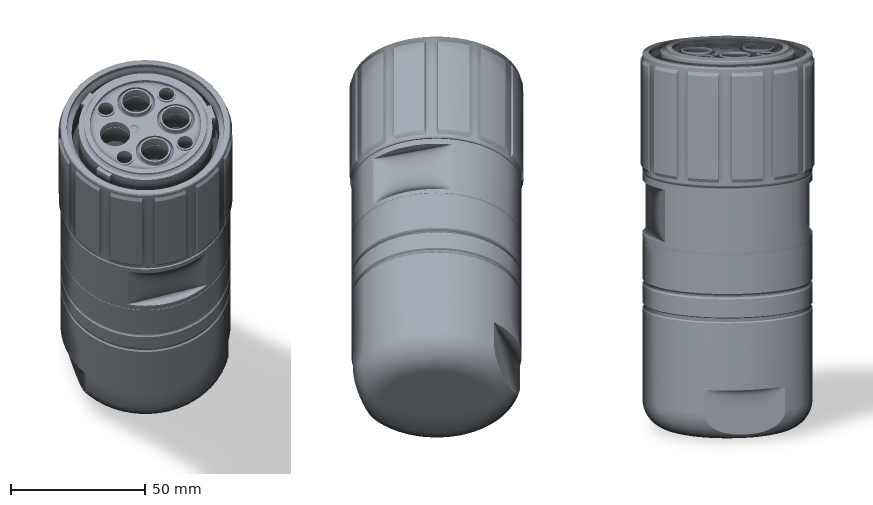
import cadquery as cq

HEIGHT = 143.9
BODY_RADIUS = 31.7

BOTTOM_FILLET = 10.8
BODY_TOP = 96.4
V_GROOVE_TOP = 56.5
V_GROOVE_BOTTOM = 54.5
V_GROOVE_DEPTH = 0.9
V_GROOVE_FLANK = 0.7
RING_GROOVE_TOP = 47.6
RING_GROOVE_BOTTOM = 45.5
RING_GROOVE_DEPTH = 0.6
RING_GROOVE_FLANK = 0.5
SEAM_TOP = 72.2
SEAM_BOTTOM = 71.2
SEAM_DEPTH = 0.1

FLAT_DISTANCE = 27.6
REAR_FLAT_TOP = 20.0
SIDE_FLAT_BOTTOM = 74.0
SIDE_FLAT_TOP = 94.1

NECK_RADIUS = 28.0
NUT_BOTTOM = 97.0
NUT_TOP = 142.2
NUT_CHAMFER_RADIAL = 0.3
NUT_CHAMFER_AXIAL = 0.5
NUT_BORE_RADIUS = 27.5
NUT_MOUTH_RADIUS = 29.4
NUT_MOUTH_DEPTH = 1.7
NUT_SEAT_DEPTH = 3.0
RIB_COUNT = 12
RIB_DIAMETER = 64.9
RIB_RADIUS = RIB_DIAMETER / 2
RIB_WIDTH = 12.0
RIB_BOTTOM = 98.7
RIB_TOP = 140.3
RIB_BEVEL = 1.3

INSERT_RADIUS = 24.9
SHOULDER_Z = 142.6
RIM_RADIUS = 22.7
RIM_FOOT_RADIUS = 23.5
RIM_FOOT_HEIGHT = 0.5
FACE_RADIUS = 20.7
FACE_RECESS = 1.3
GAP_FLOOR = 129.5
KEY_ANGLES = (90, 221, 306)
KEY_WIDTH = 6.0
KEY_RADIUS = 26.3
KEY_TOP = 141.9

CONTACT_PITCH = 11.8
POWER_POSITIONS = ((0, CONTACT_PITCH), (-CONTACT_PITCH, 0), (CONTACT_PITCH, 0))
POWER_BORE_RADIUS = 5.2
POWER_SLEEVE_RADIUS = 5.8
POWER_SLEEVE_HEIGHT = 0.9
POWER_MOAT_RADIUS = 7.0
POWER_MOAT_DEPTH = 1.2
PLAIN_RADIUS = 5.6
STEP_DEPTH = 3.2
STEP_WIDTH = 0.1
BORE_DEPTH = 11.5
SIGNAL_SLEEVE_RADIUS = 3.5
SIGNAL_SLEEVE_HEIGHT = 0.7
SIGNAL_BORE_RADIUS = 2.9
SIGNAL_BORE_DEPTH = 7.2
SIGNAL_PIN_HOLE_RADIUS = 1.0
SIGNAL_PIN_HOLE_DEPTH = 2.9
EARTH_MARK_RADIUS = 1.9
EARTH_MARK_Y = -4.3
EARTH_MARK_DEPTH = 0.3

FACE_Z = HEIGHT - FACE_RECESS


def revolved(points):
    """Solid of revolution about Z from (radius, height) points."""
    return cq.Workplane("XZ").polyline(points).close().revolve(360, (0, 0, 0), (0, 1, 0))


def cylinder(x, y, bottom, top, radius):
    """Upright cylinder between two heights."""
    return cq.Workplane("XY").workplane(offset=bottom).center(x, y).circle(radius).extrude(top - bottom)


def groove(bottom, top, depth, flank):
    """Outer groove with sloping flanks."""
    floor = BODY_RADIUS - depth
    points = [
        (BODY_RADIUS, bottom),
        (floor, bottom + flank),
        (floor, top - flank),
        (BODY_RADIUS, top),
    ]
    return revolved(points)


def flat(angle, distance, bottom, top):
    """Block that cuts a flat at the given distance from the axis, facing the given angle."""
    size = 2 * BODY_RADIUS
    block = cq.Workplane("XY").box(size, size, top - bottom, centered=(False, True, False))
    return block.translate((distance, 0, bottom)).rotate((0, 0, 0), (0, 0, 1), angle)


def housing():
    body = cylinder(0, 0, 0, BODY_TOP, BODY_RADIUS)
    body = body.faces("<Z").edges().fillet(BOTTOM_FILLET)
    body = body.cut(groove(V_GROOVE_BOTTOM, V_GROOVE_TOP, V_GROOVE_DEPTH, V_GROOVE_FLANK))
    body = body.cut(groove(RING_GROOVE_BOTTOM, RING_GROOVE_TOP, RING_GROOVE_DEPTH, RING_GROOVE_FLANK))
    body = body.cut(groove(SEAM_BOTTOM, SEAM_TOP, SEAM_DEPTH, 0))
    for angle in (90, 270):
        body = body.cut(flat(angle, FLAT_DISTANCE, 0, REAR_FLAT_TOP))
    for angle in (0, 180):
        body = body.cut(flat(angle, FLAT_DISTANCE, SIDE_FLAT_BOTTOM, SIDE_FLAT_TOP))
    return body


def rib(angle):
    """Grip rib with bevelled ends."""
    points = [
        (NUT_MOUTH_RADIUS, RIB_BOTTOM),
        (BODY_RADIUS, RIB_BOTTOM),
        (RIB_RADIUS, RIB_BOTTOM + RIB_BEVEL),
        (RIB_RADIUS, RIB_TOP - RIB_BEVEL),
        (BODY_RADIUS, RIB_TOP),
        (NUT_MOUTH_RADIUS, RIB_TOP),
    ]
    sleeve = revolved(points)
    slab = cq.Workplane("XY").box(2 * RIB_RADIUS, RIB_WIDTH, HEIGHT, centered=(False, True, False))
    return sleeve.intersect(slab).rotate((0, 0, 0), (0, 0, 1), angle)


def nut():
    edge = BODY_RADIUS - NUT_CHAMFER_RADIAL
    points = [
        (0, NUT_BOTTOM),
        (edge, NUT_BOTTOM),
        (BODY_RADIUS, NUT_BOTTOM + NUT_CHAMFER_AXIAL),
        (BODY_RADIUS, NUT_TOP - NUT_CHAMFER_AXIAL),
        (edge, NUT_TOP),
        (NUT_MOUTH_RADIUS, NUT_TOP),
        (NUT_MOUTH_RADIUS, NUT_TOP - NUT_MOUTH_DEPTH),
        (NUT_BORE_RADIUS, NUT_TOP - NUT_SEAT_DEPTH),
        (NUT_BORE_RADIUS, GAP_FLOOR),
        (0, GAP_FLOOR),
    ]
    body = revolved(points)
    for i in range(RIB_COUNT):
        body = body.union(rib(i * 360 / RIB_COUNT))
    return body


def key(angle):
    """Coding key running up the insert's outer wall."""
    length = KEY_TOP - GAP_FLOOR
    block = cq.Workplane("XY").box(KEY_RADIUS, KEY_WIDTH, length, centered=(False, True, False))
    return block.translate((0, 0, GAP_FLOOR)).rotate((0, 0, 0), (0, 0, 1), angle)


def insert():
    points = [
        (0, GAP_FLOOR),
        (INSERT_RADIUS, GAP_FLOOR),
        (INSERT_RADIUS, SHOULDER_Z),
        (RIM_FOOT_RADIUS, SHOULDER_Z),
        (RIM_RADIUS, SHOULDER_Z + RIM_FOOT_HEIGHT),
        (RIM_RADIUS, HEIGHT),
        (FACE_RADIUS, HEIGHT),
        (FACE_RADIUS, FACE_Z),
        (0, FACE_Z),
    ]
    body = revolved(points)
    for angle in KEY_ANGLES:
        body = body.union(key(angle))
    return body


def stepped_bore(x, y, top, radius):
    """Cutter for a bore that narrows slightly a short way below the face."""
    mouth = cylinder(x, y, FACE_Z - STEP_DEPTH, top, radius)
    return mouth.union(cylinder(x, y, FACE_Z - BORE_DEPTH, top, radius - STEP_WIDTH))


def add_power_contact(body, x, y):
    """Raised sleeve standing in a ring-shaped moat."""
    moat_floor = FACE_Z - POWER_MOAT_DEPTH
    sleeve_top = FACE_Z + POWER_SLEEVE_HEIGHT
    body = body.cut(cylinder(x, y, moat_floor, sleeve_top, POWER_MOAT_RADIUS))
    body = body.union(cylinder(x, y, moat_floor, sleeve_top, POWER_SLEEVE_RADIUS))
    return body.cut(stepped_bore(x, y, sleeve_top, POWER_BORE_RADIUS))


def add_signal_contact(body, x, y):
    """Small raised sleeve with a pin hole in the floor of its bore."""
    sleeve_top = FACE_Z + SIGNAL_SLEEVE_HEIGHT
    bore_floor = FACE_Z - SIGNAL_BORE_DEPTH
    body = body.union(cylinder(x, y, FACE_Z, sleeve_top, SIGNAL_SLEEVE_RADIUS))
    body = body.cut(cylinder(x, y, bore_floor, sleeve_top, SIGNAL_BORE_RADIUS))
    return body.cut(cylinder(x, y, bore_floor - SIGNAL_PIN_HOLE_DEPTH, bore_floor, SIGNAL_PIN_HOLE_RADIUS))


def add_contacts(body):
    for x, y in POWER_POSITIONS:
        body = add_power_contact(body, x, y)
    body = body.cut(stepped_bore(0, -CONTACT_PITCH, FACE_Z, PLAIN_RADIUS))
    for x in (-CONTACT_PITCH, CONTACT_PITCH):
        for y in (-CONTACT_PITCH, CONTACT_PITCH):
            body = add_signal_contact(body, x, y)
    return body.cut(cylinder(0, EARTH_MARK_Y, FACE_Z - EARTH_MARK_DEPTH, FACE_Z, EARTH_MARK_RADIUS))


neck = cylinder(0, 0, BODY_TOP, NUT_BOTTOM, NECK_RADIUS)
result = add_contacts(housing().union(neck).union(nut()).union(insert()))